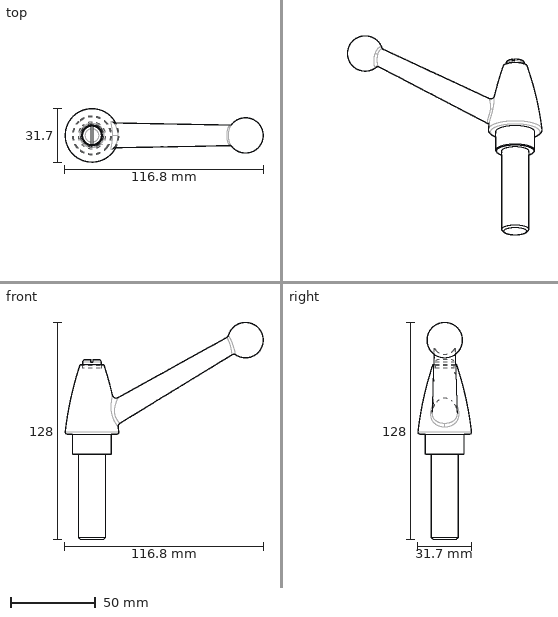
import cadquery as cq

collar_bottom = 50.0
hub_bottom = 62.0
hub_top = 103.0
screw_top = 106.0
ball_top = 128.0

stud_diameter = 16.0
stud_chamfer = 1.2
collar_diameter = 23.0
collar_chamfer = 0.5

hub_base_diameter = 32.0
hub_top_diameter = 14.2
hub_side_radius = 200.0
hub_base_fillet = 1.3
hub_top_fillet = 0.4

screw_diameter = 11.0
screw_bore_diameter = 11.2
screw_bore_depth = 2.0
screw_bore_chamfer = 0.5
screw_fillet = 1.5
slot_width = 1.2
slot_depth = 1.5

ball_diameter = 21.0
ball_x = 90.47
ball_z = ball_top - ball_diameter / 2
arm_angle = 30.2
arm_rise = 1.75
arm_length = 100.0
arm_root_width = 15.2
arm_root_thickness = 14.4
arm_tip_width = 12.0
arm_tip_thickness = 10.1
arm_hub_fillet = 2.2
arm_ball_fillet = 2.0


def make_stud():
    stud = cq.Workplane("XY").circle(stud_diameter / 2).extrude(hub_bottom)
    return stud.faces("<Z").chamfer(stud_chamfer)


def make_collar():
    collar = cq.Workplane("XY", origin=(0, 0, collar_bottom)).circle(collar_diameter / 2)
    collar = collar.extrude(hub_bottom - collar_bottom)
    return collar.faces("<Z").edges().chamfer(collar_chamfer)


def make_hub():
    """Tapered body of revolution with a bulging side and rounded rims."""
    profile = (
        cq.Workplane("XZ")
        .moveTo(0, hub_bottom)
        .lineTo(hub_base_diameter / 2, hub_bottom)
        .radiusArc((hub_top_diameter / 2, hub_top), -hub_side_radius)
        .lineTo(0, hub_top)
        .close()
    )
    hub = profile.revolve(360, (0, 0, 0), (0, 1, 0))
    hub = hub.faces("<Z").edges().fillet(hub_base_fillet)
    return hub.faces(">Z").edges().fillet(hub_top_fillet)


def make_lever():
    """Ball with a tapered oval arm, built hanging below the ball and then tilted into place."""
    arm = (
        cq.Workplane("XY", origin=(-arm_rise, 0, -arm_length))
        .ellipse(arm_root_thickness / 2, arm_root_width / 2)
        .workplane(offset=arm_length)
        .ellipse(arm_tip_thickness / 2, arm_tip_width / 2)
        .loft(ruled=True)
    )
    ball_radius = ball_diameter / 2
    lever = arm.union(cq.Workplane("XY").sphere(ball_radius))
    neck = cq.selectors.BoxSelector(
        (-ball_radius, -ball_radius, -ball_radius),
        (ball_radius, ball_radius, -ball_radius / 2),
        boundingbox=True,
    )
    lever = lever.edges(neck).fillet(arm_ball_fillet)
    return lever.rotate((0, 0, 0), (0, 1, 0), 90 - arm_angle).translate((ball_x, 0, ball_z))


def join_lever(hub, lever):
    """Unites hub and lever and rounds the edge where the arm leaves the hub."""
    body = hub.union(lever)
    reach = hub_base_diameter / 2
    low = hub_bottom + hub_base_fillet
    high = hub_top - screw_bore_depth
    junction = cq.selectors.BoxSelector((0, -reach, low), (reach, reach, high))
    edges = body.edges(junction).edges("not %CIRCLE")
    return edges.fillet(arm_hub_fillet)


def make_screw_head():
    head = cq.Workplane("XY", origin=(0, 0, hub_bottom)).circle(screw_diameter / 2)
    head = head.extrude(screw_top - hub_bottom)
    head = head.faces(">Z").edges().fillet(screw_fillet)
    slot = cq.Workplane("XY", origin=(0, 0, screw_top - slot_depth))
    slot = slot.rect(slot_width, screw_diameter).extrude(slot_depth)
    return head.cut(slot)


def make_screw_bore():
    """Shallow clearance around the screw head in the top of the hub."""
    bore = cq.Workplane("XY", origin=(0, 0, hub_top - screw_bore_depth)).circle(screw_bore_diameter / 2)
    bore = bore.extrude(screw_bore_depth)
    sink = cq.Workplane("XY", origin=(0, 0, hub_top)).circle(screw_bore_diameter / 2 + screw_bore_chamfer)
    sink = sink.extrude(-screw_bore_chamfer, taper=45)
    return bore.union(sink)


body = join_lever(make_hub(), make_lever()).cut(make_screw_bore())
result = body.union(make_screw_head()).union(make_collar()).union(make_stud())